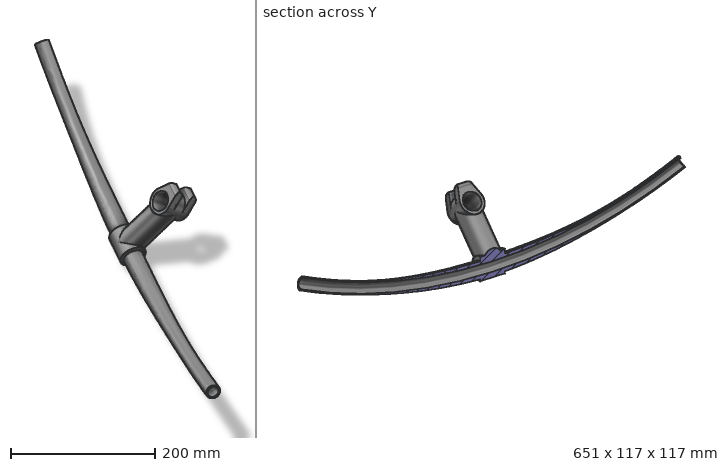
import cadquery as cq
import math

bar_length = 651.0
bend_radius = 794.0
bar_drop = 2.0
grip_radius = 10.5
middle_radius = 14.0
bar_bore_radius = 8.0
grip_start = 0.7
sections_per_half = 6

stem_angle = 45.0
body_radius = 19.2
clamp_length = 42.0
column_distance = 90.5
column_bore_radius = 14.0

lug_thickness = 12.5
lug_tip_distance = 121.0
lug_tip_half_width = 10.0
lug_corner_radius = 5.0

end_angle = math.asin(bar_length / 2 / (bend_radius + grip_radius))

stem_plane = cq.Plane(origin=(0, 0, 0), xDir=(1, 0, 0), normal=(0, 0, 1))
stem_plane = stem_plane.rotated((stem_angle, 0, 0))


def bar_section_plane(angle):
    """Plane across the bar at an angle along its bend, zero in the middle."""
    center = (bend_radius * math.sin(angle), 0, bend_radius * (1 - math.cos(angle)) - bar_drop)
    tangent = (math.cos(angle), 0, math.sin(angle))
    return cq.Plane(origin=center, xDir=(0, 1, 0), normal=tangent)


def bar_radius(fraction):
    """Outer radius, easing from the middle of the bar (0) to the grip (1)."""
    ease = min(abs(fraction) / grip_start, 1)
    swell = (1 + math.cos(math.pi * ease)) / 2
    return grip_radius + (middle_radius - grip_radius) * swell


def make_bar():
    wires = []
    for i in range(-sections_per_half, sections_per_half + 1):
        fraction = i / sections_per_half
        plane = bar_section_plane(fraction * end_angle)
        wires.append(cq.Wire.makeCircle(bar_radius(fraction), plane.origin, plane.zDir))
    return cq.Workplane(obj=cq.Solid.makeLoft(wires))


def make_bar_bore():
    start = bar_section_plane(-end_angle)
    end = bar_section_plane(end_angle)
    path = cq.Workplane("XZ").moveTo(start.origin.x, start.origin.z)
    path = path.threePointArc((0, -bar_drop), (end.origin.x, end.origin.z))
    return cq.Workplane(start).circle(bar_bore_radius).sweep(path)


def make_bar_clamp():
    return cq.Workplane("YZ").circle(body_radius).extrude(clamp_length / 2, both=True)


def make_stem_rod():
    """Rod joining the bar axis to the column axis, mitred into the column clamp."""
    rod_plane = cq.Plane(origin=(0, 0, 0), xDir=(1, 0, 0), normal=stem_plane.yDir)
    return cq.Workplane(rod_plane).circle(body_radius).extrude(column_distance)


def make_column_clamp():
    clamp = cq.Workplane(stem_plane).center(0, column_distance).circle(body_radius)
    return clamp.extrude(clamp_length / 2, both=True)


def make_lug(side):
    """Ear at one end of the column clamp; its sides are tangent to the clamp."""
    reach = lug_tip_distance - column_distance
    tip_diagonal = math.hypot(reach, lug_tip_half_width)
    tangent_angle = math.atan2(lug_tip_half_width, reach) + math.acos(body_radius / tip_diagonal)
    tangent_x = body_radius * math.sin(tangent_angle)
    tangent_y = column_distance + body_radius * math.cos(tangent_angle)
    outline = [
        (-tangent_x, tangent_y),
        (tangent_x, tangent_y),
        (lug_tip_half_width, lug_tip_distance),
        (-lug_tip_half_width, lug_tip_distance),
    ]
    middle = side * (clamp_length - lug_thickness) / 2
    ear = cq.Workplane(stem_plane).workplane(offset=middle).polyline(outline).close()
    ear = ear.extrude(lug_thickness / 2, both=True)
    tip_face = cq.selectors.DirectionMinMaxSelector(stem_plane.yDir)
    corners = cq.selectors.ParallelDirSelector(stem_plane.zDir)
    ear = ear.faces(tip_face).edges(corners).fillet(lug_corner_radius)

    tip_center = lug_tip_distance - lug_thickness / 2
    low = middle - lug_thickness / 2
    high = middle + lug_thickness / 2
    side_plane = cq.Plane(origin=(0, 0, 0), xDir=stem_plane.yDir, normal=(1, 0, 0))
    rounded = (
        cq.Workplane(side_plane)
        .moveTo(column_distance, low)
        .lineTo(tip_center, low)
        .threePointArc((lug_tip_distance, middle), (tip_center, high))
        .lineTo(column_distance, high)
        .close()
        .extrude(body_radius, both=True)
    )
    return ear.intersect(rounded)


def make_column_bore():
    bore = cq.Workplane(stem_plane).center(0, column_distance).circle(column_bore_radius)
    return bore.extrude(clamp_length, both=True)


stem = make_bar_clamp().union(make_stem_rod()).union(make_column_clamp())
for side in (-1, 1):
    stem = stem.union(make_lug(side))
stem = stem.cut(make_column_bore())

result = stem.union(make_bar()).cut(make_bar_bore())